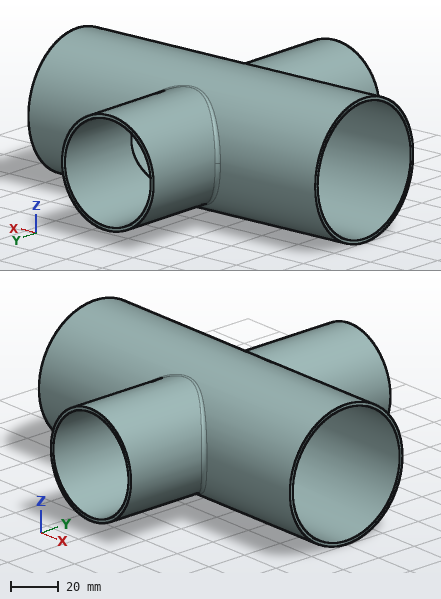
import cadquery as cq

run_length = 158.8
run_outer_diameter = 63.5
run_bore_diameter = 60.2

branch_span = 146.0
branch_outer_diameter = 50.8
branch_bore_diameter = 47.5

joint_fillet_radius = 1.6


def cylinder_along(plane_name, diameter, length):
    """Solid cylinder centred on the origin, along the normal of the plane."""
    return cq.Workplane(plane_name).circle(diameter / 2).extrude(length / 2, both=True)


def make_cross_body():
    """Solid cross of the two pipes, with the joint curves rounded."""
    run = cylinder_along("YZ", run_outer_diameter, run_length)
    branches = cylinder_along("XZ", branch_outer_diameter, branch_span)
    joint_curves = "(not %LINE) and (not %CIRCLE)"
    return run.union(branches).edges(joint_curves).fillet(joint_fillet_radius)


def cut_bores(body):
    """Open both pipes from end to end."""
    run_bore = cylinder_along("YZ", run_bore_diameter, run_length)
    branch_bore = cylinder_along("XZ", branch_bore_diameter, branch_span)
    return body.cut(run_bore).cut(branch_bore)


result = cut_bores(make_cross_body())